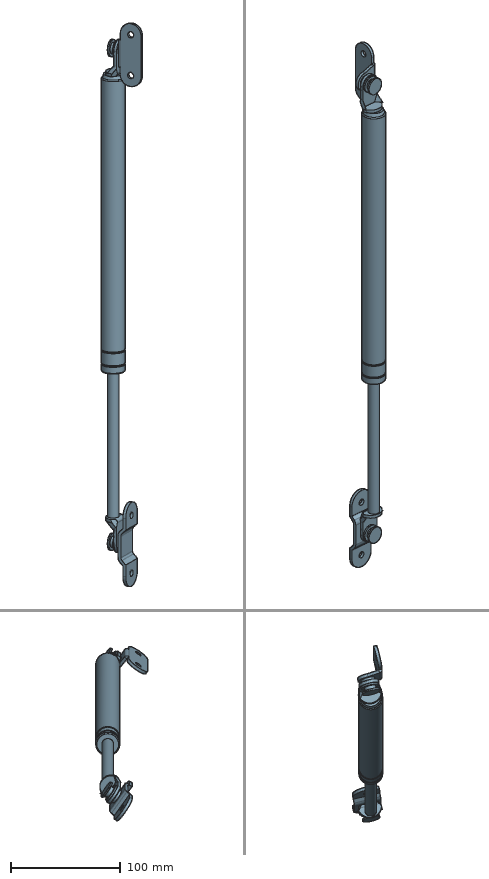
import cadquery as cq
import math


TOTAL_HEIGHT = 540
SHEET = 3.0
WEB_X = 11.0
STUD_TO_LUG_SEAT = 24.5

WEB_HEIGHT = 26.0
BRACKET_BEND_RADIUS = 2.95
SCREW_HOLE_DIAMETER = 6.0
TOP_FLANGE_HEIGHT = 60.0
TOP_FLANGE_WIDTH = 21.0
TOP_FLANGE_OUTER_Y = -14.0
BOTTOM_BRACKET_HEIGHT = 80.0
BOTTOM_BRACKET_WIDTH = 25.0
BOTTOM_FLANGE_OFFSET = 5.0
JOGGLE_ANGLE = 45
JOGGLE_BEND_RADIUS = 6.5
TOP_STUD_Z = TOTAL_HEIGHT - TOP_FLANGE_HEIGHT / 2
BOTTOM_STUD_Z = BOTTOM_BRACKET_HEIGHT / 2

LUG_WIDTH = 18.5
LUG_X = 5.0
FOOT_WIDTH = 21.5
FOOT_END_X = -6.5
BEND_RADIUS = 3.0
FLARE_HEIGHT = 7.5
WING_ROOT_Y = 6.0
WING_TIP_X = -1.0

HEAD_RADIUS = 8.0
HEAD_X = -2.0
DISC_THICKNESS = 1.5
NECK_RADIUS = 5.5
SPACER_RADIUS = 6.5

CYLINDER_RADIUS = 22.0 / 2
CYLINDER_BOTTOM_Z = 202.5
ROD_RADIUS = 5.5
CRIMP_HEIGHT = 3.0
CRIMP_INSET = 2.0
EDGE_CHAMFER = 1.0
GROOVE_Z = [210.0, 223.0]
GROOVE_WIDTH = 1.5
GROOVE_DEPTH = 0.5

CYLINDER_TOP_Z = TOP_STUD_Z - STUD_TO_LUG_SEAT
ROD_BOTTOM_Z = BOTTOM_STUD_Z + STUD_TO_LUG_SEAT


def turned(profile):
    """Revolve an outline of (radius, z) points about the strut axis."""
    outline = cq.Workplane("XZ").polyline([(-radius, z) for radius, z in profile]).close()
    return outline.revolve(360, (0, 0), (0, 1))


def make_cylinder():
    rim_z = CYLINDER_TOP_Z - CRIMP_HEIGHT
    inset_radius = CYLINDER_RADIUS - EDGE_CHAMFER
    groove_radius = CYLINDER_RADIUS - GROOVE_DEPTH
    grooves = []
    for z in GROOVE_Z:
        grooves += [
            (CYLINDER_RADIUS, z - GROOVE_WIDTH / 2),
            (groove_radius, z),
            (CYLINDER_RADIUS, z + GROOVE_WIDTH / 2),
        ]
    return turned(
        [
            (0, CYLINDER_BOTTOM_Z),
            (inset_radius, CYLINDER_BOTTOM_Z),
            (CYLINDER_RADIUS, CYLINDER_BOTTOM_Z + EDGE_CHAMFER),
            *grooves,
            (CYLINDER_RADIUS, rim_z - EDGE_CHAMFER),
            (inset_radius, rim_z),
            (CYLINDER_RADIUS - CRIMP_INSET, CYLINDER_TOP_Z),
            (0, CYLINDER_TOP_Z),
        ]
    )


def make_rod():
    return turned(
        [
            (0, ROD_BOTTOM_Z),
            (ROD_RADIUS, ROD_BOTTOM_Z),
            (ROD_RADIUS, CYLINDER_BOTTOM_Z),
            (0, CYLINDER_BOTTOM_Z),
        ]
    )


def lug_blank(stud_z):
    """L-shaped strip: a foot with a round end and an upright plate round about the stud."""
    seat_z = stud_z - STUD_TO_LUG_SEAT
    foot_top_z = seat_z + SHEET
    foot_half = FOOT_WIDTH / 2
    lug_half = LUG_WIDTH / 2
    flare_z = foot_top_z + FLARE_HEIGHT
    outer_x = LUG_X + SHEET
    upright = (
        cq.Workplane("YZ").workplane(offset=LUG_X)
        .moveTo(-foot_half, seat_z)
        .lineTo(-foot_half, foot_top_z)
        .lineTo(-lug_half, flare_z)
        .lineTo(-lug_half, stud_z)
        .threePointArc((0, stud_z + lug_half), (lug_half, stud_z))
        .lineTo(lug_half, flare_z)
        .lineTo(foot_half, foot_top_z)
        .lineTo(foot_half, seat_z)
        .close()
        .extrude(SHEET)
    )
    foot_center_x = FOOT_END_X + foot_half
    foot = (
        cq.Workplane("XY").workplane(offset=seat_z)
        .moveTo(outer_x, -foot_half)
        .lineTo(foot_center_x, -foot_half)
        .threePointArc((FOOT_END_X, 0), (foot_center_x, foot_half))
        .lineTo(outer_x, foot_half)
        .close()
        .extrude(SHEET)
    )
    return upright.union(foot).edges("|Y and >X and <Z").fillet(BEND_RADIUS)


def fold_corner(lug, stud_z, side):
    """Fold one lower corner of the upright plate across the bend; side is +1 or -1 along Y."""
    foot_top_z = stud_z - STUD_TO_LUG_SEAT + SHEET
    apex = cq.Vector(LUG_X, side * LUG_WIDTH / 2, foot_top_z + FLARE_HEIGHT)
    root = cq.Vector(LUG_X, side * WING_ROOT_Y, foot_top_z)
    tip = cq.Vector(WING_TIP_X, side * FOOT_WIDTH / 2, foot_top_z)
    corner = cq.Vector(LUG_X, side * FOOT_WIDTH / 2, foot_top_z)
    triangles = [(apex, root, tip), (apex, root, corner), (apex, tip, corner), (root, tip, corner)]
    faces = [cq.Face.makeFromWires(cq.Wire.makePolygon(t, close=True)) for t in triangles]
    wing = cq.Solid.makeSolid(cq.Shell.makeShell(faces))
    outward = (root - apex).cross(tip - root) * side
    back = cq.Plane(origin=root + outward.normalized() * SHEET, normal=outward)
    excess = cq.Workplane(back).rect(2 * FOOT_WIDTH, 2 * FOOT_WIDTH).extrude(FOOT_WIDTH)
    return lug.union(cq.Workplane(wing)).cut(excess)


def make_top_lug():
    lug = lug_blank(TOP_STUD_Z)
    for side in (-1, 1):
        lug = fold_corner(lug, TOP_STUD_Z, side)
    stud_hole = cq.Workplane("YZ").center(0, TOP_STUD_Z).circle(NECK_RADIUS).extrude(WEB_X)
    return lug.cut(stud_hole)


def make_bottom_lug(top_lug):
    """The top lug turned upside down and moved onto the lower stud."""
    return top_lug.mirror("XY").translate((0, 0, TOP_STUD_Z + BOTTOM_STUD_Z))


def make_stud(stud_z):
    collar_x = LUG_X - DISC_THICKNESS
    spacer_x = LUG_X + SHEET
    sections = [
        (HEAD_X, HEAD_X + DISC_THICKNESS, HEAD_RADIUS),
        (HEAD_X, spacer_x, NECK_RADIUS),
        (collar_x, LUG_X, HEAD_RADIUS),
        (spacer_x, WEB_X, SPACER_RADIUS),
    ]
    stud = cq.Workplane("YZ")
    for start_x, end_x, radius in sections:
        section = (
            cq.Workplane("YZ").workplane(offset=start_x)
            .center(0, stud_z)
            .circle(radius)
            .extrude(end_x - start_x)
        )
        stud = stud.union(section)
    return stud


def make_top_bracket():
    """Angle bracket: a web across X that carries the stud and a flange with two screw holes."""
    web_half = WEB_HEIGHT / 2
    lug_half = LUG_WIDTH / 2
    root_y = TOP_FLANGE_OUTER_Y
    round_end = (
        cq.Workplane("YZ").workplane(offset=WEB_X)
        .moveTo(root_y, TOP_STUD_Z - web_half)
        .lineTo(root_y, TOP_STUD_Z + web_half)
        .lineTo(root_y + SHEET, TOP_STUD_Z + web_half)
        .lineTo(0, TOP_STUD_Z + lug_half)
        .threePointArc((lug_half, TOP_STUD_Z), (0, TOP_STUD_Z - lug_half))
        .lineTo(root_y + SHEET, TOP_STUD_Z - web_half)
        .close()
        .extrude(SHEET)
    )
    flange_center_x = WEB_X + SHEET + TOP_FLANGE_WIDTH / 2
    hole_spacing = TOP_FLANGE_HEIGHT - TOP_FLANGE_WIDTH
    flange = (
        cq.Workplane("XZ", origin=(flange_center_x, root_y, TOP_STUD_Z))
        .slot2D(TOP_FLANGE_HEIGHT, TOP_FLANGE_WIDTH, 90)
        .pushPoints([(0, -hole_spacing / 2), (0, hole_spacing / 2)])
        .circle(SCREW_HOLE_DIAMETER / 2)
        .extrude(-SHEET)
    )
    return round_end.union(flange).edges("|Z and <X and <Y").fillet(BRACKET_BEND_RADIUS)


def make_bottom_bracket():
    """Strip with round ends, joggled so that its middle stands off towards the stud."""
    jog = BOTTOM_FLANGE_OFFSET
    half = WEB_HEIGHT / 2
    back_shift = SHEET * math.tan(math.radians(JOGGLE_ANGLE / 2))
    web_front = [(WEB_X, half), (WEB_X + jog, half + jog)]
    web_back = [(x + SHEET, z - back_shift) for x, z in web_front]
    upper_front = web_front + [(WEB_X + jog, BOTTOM_STUD_Z)]
    upper_back = web_back + [(WEB_X + jog + SHEET, BOTTOM_STUD_Z)]
    front = [(x, -z) for x, z in reversed(upper_front)] + upper_front
    back = [(x, -z) for x, z in reversed(upper_back)] + upper_back
    strip = (
        cq.Workplane("XZ", origin=(0, 0, BOTTOM_STUD_Z))
        .polyline(front + back[::-1])
        .close()
        .extrude(BOTTOM_BRACKET_WIDTH / 2, both=True)
    )
    strip = strip.edges("|Y and <X").fillet(JOGGLE_BEND_RADIUS)
    for side in (-1, 1):
        inside_corner = (WEB_X + SHEET, 0, BOTTOM_STUD_Z + side * (half - back_shift))
        bend_edge = strip.edges(cq.selectors.NearestToPointSelector(inside_corner))
        strip = bend_edge.fillet(JOGGLE_BEND_RADIUS - SHEET)
    hole_spacing = BOTTOM_BRACKET_HEIGHT - BOTTOM_BRACKET_WIDTH
    outline = (
        cq.Workplane("YZ", origin=(0, 0, BOTTOM_STUD_Z))
        .slot2D(BOTTOM_BRACKET_HEIGHT, BOTTOM_BRACKET_WIDTH, 90)
        .pushPoints([(0, -hole_spacing / 2), (0, hole_spacing / 2)])
        .circle(SCREW_HOLE_DIAMETER / 2)
        .extrude(WEB_X + jog + SHEET)
    )
    return strip.intersect(outline)


cylinder = make_cylinder()
rod = make_rod()
top_lug = make_top_lug()
bottom_lug = make_bottom_lug(top_lug)
studs = [make_stud(stud_z) for stud_z in (TOP_STUD_Z, BOTTOM_STUD_Z)]
top_bracket = make_top_bracket()
bottom_bracket = make_bottom_bracket()

result = cq.Compound.makeCompound(
    [
        cylinder.val(),
        rod.val(),
        top_lug.val(),
        bottom_lug.val(),
        *[stud.val() for stud in studs],
        top_bracket.val(),
        bottom_bracket.val(),
    ]
)